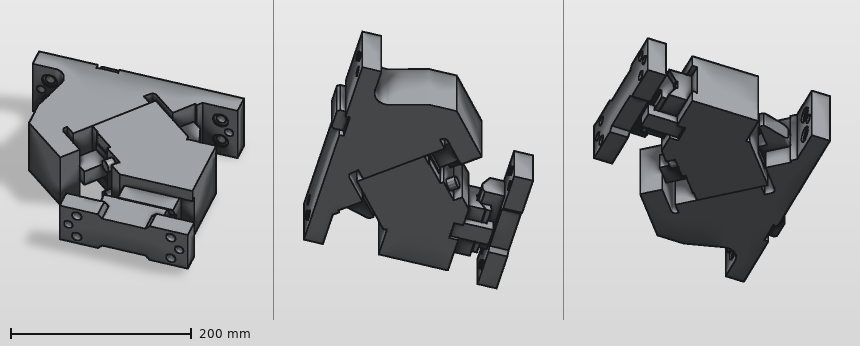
import cadquery as cq
import math


height = 70.0
plate_thick = 22.0
base_length = 240.0
overall_length = 252.0
driver_back = -224.8

slide_angle = math.radians(50)
face_x, face_y = 96.3, -98.3

screw_hole_dia = 11.0
screw_hole_inset = 20.0
screw_hole_z = 15.0
dowel_hole_dia = 10.0
dowel_hole_inset = 10.0
counterbore_dia = 18.0
counterbore_depth = 2.5

corner_radius = 15.0
neck_x = 41.0
neck_end_y = -40.3
arm_x = 28.5
arm_top_y = -84.2
arm_bottom_s = -57.5
arm_end_n = 27.0
arm_inner_s = -32.0
lower_slot_s = -24.7
slot_floor_n = -12.9
upper_slot_s = 74.3
lug_bottom_s = 87.5
slot_radius = 5.0
lug_n = 27.0
lug_root_n = 29.7

key_x = 68.8
key_width = 25.5
key_height = 9.3
key_seat_depth = 5.0
key_length = 50.0
key_chamfer_x = 2.0
key_chamfer_y = 3.0

slide_top_s = 82.0
slide_shoulder_x = 202.4
slide_shoulder_y = -85.0
slide_right_x = 236.6
slide_front_y = -164.5
slide_foot_s = -15.4
screw_recess_s = -5.0
screw_recess_start_n = 40.3
screw_recess_end_n = 67.3
seat_s = -1.0
stop_screw_dia = 13.9
stop_screw_z = 23.0
flange_seat_depth = 5.8
flange_x = 156.7
flange_width = 64.5
flange_length = 21.0

stop_pad_thick = 1.0
hook_pad_thick = 0.5
pad_height = 39.8
stop_n = 11.5
stop_width = 25.0
stop_height = 19.7
hook_tip_s = 116.7
hook_tip_n = 37.8
hook_inner_s = 91.7
hook_end_n = 66.5
hook_bevel_start = (99.0, 64.3)
hook_bevel_end_s = 96.8
hook_tip_radius = 4.3

vee_half_height = 20.0
vee_half_flat = 4.8
vee_tip_y = -177.5
vee_edge_y = -186.2
vee_relief = 1.8

bracket_x = 173.6
bracket_width = 20.7
bracket_top_z = -20.7
bracket_bottom_z = -30.7
bracket_lip_z = -14.5
bracket_end_y = -199.0
bracket_seat_depth = 10.0

driver_plate_x = 102.0
driver_plate_height = 50.0
waist_start = 44.5
nose_x = 140.5
nose_width = 74.0
nose_back_y = -191.8
neck_bottom_z = -9.5


def incline(s, n):
    """X, Y of a point in the inclined frame."""
    return (
        face_x + s * math.cos(slide_angle) + n * math.sin(slide_angle),
        face_y + s * math.sin(slide_angle) - n * math.cos(slide_angle),
    )


def on_s_at_x(s, x):
    """Point of the line of constant s at the given X."""
    return incline(s, (x - face_x - s * math.cos(slide_angle)) / math.sin(slide_angle))


def on_s_at_y(s, y):
    """Point of the line of constant s at the given Y."""
    return incline(s, (face_y + s * math.sin(slide_angle) - y) / math.cos(slide_angle))


def on_n_at_y(n, y):
    """Point of the line of constant n at the given Y."""
    return incline((y - face_y + n * math.cos(slide_angle)) / math.sin(slide_angle), n)


def prism(points, size):
    """Outline in X, Y extruded along Z, centred on mid height."""
    return cq.Workplane("XY").polyline(points).close().extrude(size / 2, both=True)


def inclined_box(s_range, n_range, size):
    """Box aligned with the inclined frame, centred on mid height."""
    (s0, s1), (n0, n1) = s_range, n_range
    return prism([incline(s0, n0), incline(s1, n0), incline(s1, n1), incline(s0, n1)], size)


def box(x_range, y_range, z_range):
    """Box between the given limits."""
    (x0, x1), (y0, y1), (z0, z1) = x_range, y_range, z_range
    return cq.Workplane("XY").box(x1 - x0, y1 - y0, z1 - z0, centered=False).translate((x0, y0, z0))


def cylinders_along_y(places, dia, y0, y1):
    """Cylinders at (X, Z) places between two Y values, y0 above y1."""
    sketch = cq.Workplane("XZ", origin=(0, y0, 0)).pushPoints(places)
    return sketch.circle(dia / 2).extrude(y0 - y1)


def edge_at(body, point):
    """The upright edge of a body through an X, Y point."""
    return body.edges("|Z").edges(cq.selectors.NearestToPointSelector((*point, 0)))


def screw_hole_places(left, right):
    """X, Z of the four screws of a plate with the given ends."""
    ends = (left + screw_hole_inset, right - screw_hole_inset)
    return [(x, z) for x in ends for z in (-screw_hole_z, screw_hole_z)]


def drill_plate(body, left, right, back, front):
    """Screw and dowel holes through a mounting plate."""
    dowels = [(left + dowel_hole_inset, 0), (right - dowel_hole_inset, 0)]
    body = body.cut(cylinders_along_y(screw_hole_places(left, right), screw_hole_dia, back, front))
    return body.cut(cylinders_along_y(dowels, dowel_hole_dia, back, front))


def base_outline():
    arc_x = neck_x - corner_radius
    arc_y = -plate_thick - corner_radius
    arc_mid = corner_radius * math.sqrt(0.5)
    return (
        cq.Workplane("XY")
        .moveTo(0, 0)
        .lineTo(0, -plate_thick)
        .lineTo(arc_x, -plate_thick)
        .threePointArc((arc_x + arc_mid, arc_y + arc_mid), (neck_x, arc_y))
        .lineTo(neck_x, neck_end_y)
        .lineTo(arm_x, arm_top_y)
        .lineTo(*on_s_at_x(arm_bottom_s, arm_x))
        .lineTo(*incline(arm_bottom_s, arm_end_n))
        .lineTo(*incline(arm_inner_s, arm_end_n))
        .lineTo(*incline(arm_inner_s, slot_floor_n))
        .lineTo(*incline(lower_slot_s, slot_floor_n))
        .lineTo(*incline(lower_slot_s, 0))
        .lineTo(*incline(upper_slot_s, 0))
        .lineTo(*incline(upper_slot_s, slot_floor_n))
        .lineTo(*incline(lug_bottom_s, slot_floor_n))
        .lineTo(*incline(lug_bottom_s, lug_n))
        .lineTo(*incline(hook_tip_s, lug_n))
        .lineTo(*incline(hook_tip_s, lug_root_n))
        .lineTo(*on_n_at_y(lug_root_n, -plate_thick))
        .lineTo(base_length, -plate_thick)
        .lineTo(base_length, 0)
        .close()
    )


def key():
    left, right = key_x, key_x + key_width
    shoulder = key_height - key_chamfer_y
    points = [
        (left, -key_seat_depth),
        (right, -key_seat_depth),
        (right, shoulder),
        (right - key_chamfer_x, key_height),
        (left + key_chamfer_x, key_height),
        (left, shoulder),
    ]
    return prism(points, key_length)


def make_base():
    body = base_outline().extrude(height / 2, both=True)
    for wall_s in (arm_inner_s, lug_bottom_s):
        body = edge_at(body, incline(wall_s, slot_floor_n)).fillet(slot_radius)
    body = drill_plate(body, 0, base_length, 0, -plate_thick)
    counterbore_floor = counterbore_depth - plate_thick
    body = body.cut(cylinders_along_y(
        screw_hole_places(0, base_length), counterbore_dia, counterbore_floor, -plate_thick - corner_radius
    ))
    key_seat = box((key_x, key_x + key_width), (-key_seat_depth, 0), (-height / 2, height / 2))
    return body.cut(key_seat).union(key())


def slide_block():
    return prism([
        incline(0, 0),
        incline(slide_top_s, 0),
        on_s_at_x(slide_top_s, slide_shoulder_x),
        (slide_shoulder_x, slide_shoulder_y),
        (slide_right_x, slide_shoulder_y),
        (slide_right_x, slide_front_y),
        on_s_at_y(slide_foot_s, slide_front_y),
        incline(slide_foot_s, screw_recess_end_n),
        incline(screw_recess_s, screw_recess_end_n),
        incline(screw_recess_s, screw_recess_start_n),
        incline(seat_s, screw_recess_start_n),
        incline(seat_s, stop_n),
        incline(0, stop_n),
    ], height)


def stop_block():
    n_range = (stop_n, stop_n + stop_width)
    pad = inclined_box((seat_s - stop_pad_thick, seat_s), n_range, pad_height)
    return pad.union(inclined_box((arm_inner_s, seat_s), n_range, stop_height))


def hook():
    n_range = (stop_n, stop_n + stop_width)
    pad = inclined_box((slide_top_s, slide_top_s + hook_pad_thick), n_range, pad_height)
    body = prism([
        incline(slide_top_s, stop_n),
        incline(lug_bottom_s, stop_n),
        incline(lug_bottom_s, lug_n),
        incline(hook_tip_s, lug_n),
        incline(hook_tip_s, hook_tip_n),
        incline(*hook_bevel_start),
        incline(hook_bevel_end_s, hook_end_n),
        incline(hook_inner_s, hook_end_n),
        incline(hook_inner_s, stop_n + stop_width),
        incline(slide_top_s, stop_n + stop_width),
    ], stop_height)
    tip = (*incline(hook_tip_s, (lug_n + hook_tip_n) / 2), 0)
    tip_face = body.faces(cq.selectors.NearestToPointSelector(tip))
    body = tip_face.edges("not |Z").fillet(hook_tip_radius)
    return body.union(pad)


def stop_screws():
    centre_n = (screw_recess_start_n + screw_recess_end_n) / 2
    x, y = incline(screw_recess_s, centre_n)
    outward = cq.Vector(-math.cos(slide_angle), -math.sin(slide_angle), 0)
    length = screw_recess_s - slide_foot_s
    return [
        cq.Workplane(cq.Solid.makeCylinder(stop_screw_dia / 2, length, cq.Vector(x, y, z), outward))
        for z in (-stop_screw_z, stop_screw_z)
    ]


def vee_flange():
    """Flange with a V groove and a relief at the groove's root."""
    end_y = slide_front_y - flange_length
    seat_y = slide_front_y + flange_seat_depth
    flange = box((flange_x, flange_x + flange_width), (end_y, seat_y), (-vee_half_height, vee_half_height))
    relief_y = vee_tip_y + vee_relief
    groove = cq.Workplane("YZ", origin=(flange_x, 0, 0)).polyline([
        (vee_edge_y, -vee_half_height),
        (vee_tip_y, -vee_half_flat),
        (relief_y, -vee_half_flat),
        (relief_y, vee_half_flat),
        (vee_tip_y, vee_half_flat),
        (vee_edge_y, vee_half_height),
    ]).close().extrude(flange_width)
    return flange.cut(groove)


def return_bracket():
    x_range = (bracket_x, bracket_x + bracket_width)
    seat_y = slide_front_y + bracket_seat_depth
    bar = box(x_range, (bracket_end_y, seat_y), (bracket_bottom_z, bracket_top_z))
    lip = box(x_range, (bracket_end_y, nose_back_y), (bracket_bottom_z, bracket_lip_z))
    return bar.union(lip)


def flange_seat():
    y_range = (slide_front_y, slide_front_y + flange_seat_depth)
    return box((flange_x, slide_right_x), y_range, (-vee_half_height, vee_half_height))


def bracket_seat():
    x_range = (bracket_x, bracket_x + bracket_width)
    y_range = (slide_front_y, slide_front_y + bracket_seat_depth)
    return box(x_range, y_range, (-height / 2, bracket_top_z))


def make_slide():
    body = slide_block()
    body = body.cut(bracket_seat()).cut(flange_seat())
    for feature in [stop_block(), hook(), *stop_screws(), vee_flange(), return_bracket()]:
        body = body.union(feature)
    return body


def driver_plate():
    """Plate with a waist that narrows to the height of the V nose."""
    left, right = driver_plate_x, overall_length
    outer, inner = driver_plate_height / 2, vee_half_height
    slope = outer - inner
    upper = [
        (left, outer),
        (left + waist_start, outer),
        (left + waist_start + slope, inner),
        (right - waist_start - slope, inner),
        (right - waist_start, outer),
        (right, outer),
    ]
    lower = [(x, -z) for x, z in reversed(upper)]
    outline = cq.Workplane("XZ", origin=(0, driver_back, 0)).polyline(upper + lower).close()
    return outline.extrude(-plate_thick)


def vee_nose():
    """V nose and neck; the neck and the nose's left end are cut away below for the bracket lip."""
    plate_front = driver_back + plate_thick
    nose = cq.Workplane("YZ", origin=(nose_x, 0, 0)).polyline([
        (plate_front, vee_half_height),
        (vee_edge_y, vee_half_height),
        (vee_tip_y, vee_half_flat),
        (vee_tip_y, -vee_half_flat),
        (vee_edge_y, -vee_half_height),
        (plate_front, -vee_half_height),
    ]).close().extrude(nose_width)
    z_range = (-vee_half_height, neck_bottom_z)
    neck_relief = box((nose_x, nose_x + nose_width), (plate_front, nose_back_y), z_range)
    end_relief = box((nose_x, flange_x), (nose_back_y, vee_tip_y), z_range)
    return nose.cut(neck_relief).cut(end_relief)


def make_driver():
    body = driver_plate().union(vee_nose())
    return drill_plate(body, driver_plate_x, overall_length, driver_back + plate_thick, driver_back)


base = make_base()
slide = make_slide()
driver = make_driver()
result = cq.Compound.makeCompound([body.solids().val() for body in (base, slide, driver)])